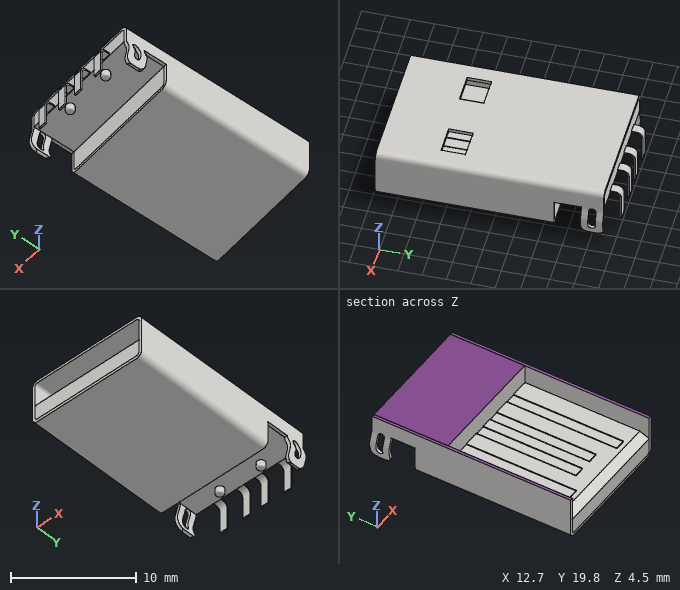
import cadquery as cq
import math


SHELL_WIDTH = 12.0
SHELL_HEIGHT = 4.5
SHELL_LENGTH = 18.8
SHEET = 0.3
CORNER_RADIUS = 0.6
CAVITY_WIDTH = SHELL_WIDTH - 2 * SHEET
CAVITY_HEIGHT = SHELL_HEIGHT - 2 * SHEET
CAVITY_RADIUS = CORNER_RADIUS - SHEET

STEP_Y = 14.7
STEP_Z = 2.62

WINDOW_WIDTH = 2.5
WINDOW_LENGTH = 2.0
WINDOW_X = 3.02
WINDOW_Y = 6.0

TAB_LENGTH = 1.85
TAB_MIDDLE_Y = SHELL_LENGTH - TAB_LENGTH / 2
TAB_CORNER_RADIUS = 0.6
TAB_ROOT_BEND_Z = 2.35
TAB_UPPER_BEND_Z = 1.757
TAB_LOWER_BEND_Z = 1.02
TAB_UPPER_ANGLE = math.radians(20.5)
TAB_LOWER_ANGLE = math.radians(17.0)
TAB_SLOT_WIDTH = 0.6
TAB_SLOT_BOTTOM_Z = 0.7
TAB_SLOT_TOP_Z = STEP_Z

TONGUE_TOP_Z = 2.25
TONGUE_CHAMFER_LENGTH = 0.89
TONGUE_CHAMFER_HEIGHT = 0.39
BLOCK_FRONT_Y = 11.75

PEG_X = 2.25
PEG_RADIUS = 0.4
PEG_BOTTOM_Z = 2.0
PEG_TIP_ROUNDING = 0.2

CONTACT_X = (-3.5, -1.0, 1.0, 3.5)
GROOVE_WIDTH = 1.0
GROOVE_DEPTH = 0.08
OUTER_GROOVE_FRONT_Y = 1.35
INNER_GROOVE_FRONT_Y = 2.35
GROOVE_FRONT_Y = (
    OUTER_GROOVE_FRONT_Y,
    INNER_GROOVE_FRONT_Y,
    INNER_GROOVE_FRONT_Y,
    OUTER_GROOVE_FRONT_Y,
)
PIN_WIDTH = 0.8
PIN_THICKNESS = 0.15
PIN_TOP_Z = 2.89
PIN_BOTTOM_Z = 0.07
PIN_REACH = 0.96
PIN_BEND_RADIUS = 0.6


def box(x_range, y_range, z_range):
    """Block between two limits on each axis."""
    size = [high - low for low, high in (x_range, y_range, z_range)]
    corner = (x_range[0], y_range[0], z_range[0])
    return cq.Workplane("XY").box(*size, centered=False).translate(corner)


def rounded_bar(width, height, radius):
    """Bar as long as the shell, with rounded long edges, centred on the shell height."""
    return (
        cq.Workplane("XZ", origin=(0, 0, SHELL_HEIGHT / 2))
        .rect(width, height)
        .extrude(-SHELL_LENGTH)
        .edges("|Y")
        .fillet(radius)
    )


def cavity_bar():
    """Inside of the shell, from end to end."""
    return rounded_bar(CAVITY_WIDTH, CAVITY_HEIGHT, CAVITY_RADIUS)


def rear_step():
    """Space below and behind the rear step, across the whole width."""
    half_width = SHELL_WIDTH / 2
    return box((-half_width, half_width), (STEP_Y, SHELL_LENGTH), (0, STEP_Z))


def tab_sheet():
    """Bowed strip under the +X side wall: root bend, outward leg, bow, inward leg."""
    wall_x = SHELL_WIDTH / 2
    root_radius = (STEP_Z - TAB_ROOT_BEND_Z) / math.sin(TAB_UPPER_ANGLE)
    root_x = wall_x + root_radius
    bow_radius = (TAB_UPPER_BEND_Z - TAB_LOWER_BEND_Z) / (
        math.sin(TAB_UPPER_ANGLE) + math.sin(TAB_LOWER_ANGLE)
    )
    leg_run = (TAB_ROOT_BEND_Z - TAB_UPPER_BEND_Z) * math.tan(TAB_UPPER_ANGLE)
    leg_end_x = root_x - root_radius * math.cos(TAB_UPPER_ANGLE) + leg_run
    bow_x = leg_end_x - bow_radius * math.cos(TAB_UPPER_ANGLE)
    bow_z = TAB_UPPER_BEND_Z - bow_radius * math.sin(TAB_UPPER_ANGLE)

    def root_point(radius, angle):
        return (root_x - radius * math.cos(angle), STEP_Z - radius * math.sin(angle))

    def bow_point(radius, angle):
        return (bow_x + radius * math.cos(angle), bow_z + radius * math.sin(angle))

    inner_root_radius = root_radius + SHEET
    inner_bow_radius = bow_radius - SHEET
    lower_end = bow_point(bow_radius, -TAB_LOWER_ANGLE)
    tip = (lower_end[0] - lower_end[1] * math.tan(TAB_LOWER_ANGLE), 0)
    inner_tip = (
        tip[0] - SHEET * math.cos(TAB_LOWER_ANGLE),
        tip[1] + SHEET * math.sin(TAB_LOWER_ANGLE),
    )
    return (
        cq.Workplane("XZ", origin=(0, SHELL_LENGTH, 0))
        .moveTo(*root_point(root_radius, 0))
        .threePointArc(
            root_point(root_radius, TAB_UPPER_ANGLE / 2),
            root_point(root_radius, TAB_UPPER_ANGLE),
        )
        .lineTo(*bow_point(bow_radius, TAB_UPPER_ANGLE))
        .threePointArc(bow_point(bow_radius, 0), lower_end)
        .lineTo(*tip)
        .lineTo(*inner_tip)
        .lineTo(*bow_point(inner_bow_radius, -TAB_LOWER_ANGLE))
        .threePointArc(
            bow_point(inner_bow_radius, 0),
            bow_point(inner_bow_radius, TAB_UPPER_ANGLE),
        )
        .lineTo(*root_point(inner_root_radius, TAB_UPPER_ANGLE))
        .threePointArc(
            root_point(inner_root_radius, TAB_UPPER_ANGLE / 2),
            root_point(inner_root_radius, 0),
        )
        .close()
        .extrude(TAB_LENGTH)
    )


def tab():
    """Slotted tab under the +X side wall, with rounded lower corners."""
    outline = (
        cq.Workplane("YZ")
        .center(TAB_MIDDLE_Y, STEP_Z / 2)
        .rect(TAB_LENGTH, STEP_Z)
        .extrude(SHELL_WIDTH)
        .edges("|X and <Z")
        .fillet(TAB_CORNER_RADIUS)
    )
    slot = (
        cq.Workplane("YZ")
        .center(TAB_MIDDLE_Y, (TAB_SLOT_BOTTOM_Z + TAB_SLOT_TOP_Z) / 2)
        .slot2D(TAB_SLOT_TOP_Z - TAB_SLOT_BOTTOM_Z, TAB_SLOT_WIDTH, 90)
        .extrude(SHELL_WIDTH)
    )
    return tab_sheet().intersect(outline).cut(slot)


def make_shell():
    """Rectangular tube with two latch windows, a rear step and two side tabs."""
    tube = rounded_bar(SHELL_WIDTH, SHELL_HEIGHT, CORNER_RADIUS)
    tube = tube.cut(cavity_bar())
    windows = (
        cq.Workplane("XY", origin=(0, 0, SHELL_HEIGHT - SHEET))
        .pushPoints([(-WINDOW_X, WINDOW_Y), (WINDOW_X, WINDOW_Y)])
        .rect(WINDOW_WIDTH, WINDOW_LENGTH)
        .extrude(SHEET)
    )
    side_tab = tab()
    return tube.cut(windows).cut(rear_step()).union(side_tab).union(side_tab.mirror("YZ"))


def mating_space():
    """Open space above the tongue, including its sloped front edge."""
    return (
        cq.Workplane("YZ", origin=(-SHELL_WIDTH / 2, 0, 0))
        .polyline([
            (0, SHELL_HEIGHT),
            (0, TONGUE_TOP_Z - TONGUE_CHAMFER_HEIGHT),
            (TONGUE_CHAMFER_LENGTH, TONGUE_TOP_Z),
            (BLOCK_FRONT_Y, TONGUE_TOP_Z),
            (BLOCK_FRONT_Y, SHELL_HEIGHT),
        ])
        .close()
        .extrude(SHELL_WIDTH)
    )


def contact_groove(x, front_y):
    """Shallow groove along the top of the tongue at one contact."""
    return box(
        (x - GROOVE_WIDTH / 2, x + GROOVE_WIDTH / 2),
        (front_y, BLOCK_FRONT_Y),
        (TONGUE_TOP_Z - GROOVE_DEPTH, TONGUE_TOP_Z),
    )


def pin(x):
    """Flat pin that leaves the back of the block and bends straight down."""
    outer_y = SHELL_LENGTH + PIN_REACH
    bend_y = outer_y - PIN_BEND_RADIUS
    bend_z = PIN_TOP_Z - PIN_BEND_RADIUS
    inner_radius = PIN_BEND_RADIUS - PIN_THICKNESS
    diagonal = math.sqrt(0.5)
    return (
        cq.Workplane("YZ", origin=(x - PIN_WIDTH / 2, 0, 0))
        .moveTo(SHELL_LENGTH, PIN_TOP_Z)
        .lineTo(bend_y, PIN_TOP_Z)
        .threePointArc(
            (bend_y + PIN_BEND_RADIUS * diagonal, bend_z + PIN_BEND_RADIUS * diagonal),
            (outer_y, bend_z),
        )
        .lineTo(outer_y, PIN_BOTTOM_Z)
        .lineTo(outer_y - PIN_THICKNESS, PIN_BOTTOM_Z)
        .lineTo(outer_y - PIN_THICKNESS, bend_z)
        .threePointArc(
            (bend_y + inner_radius * diagonal, bend_z + inner_radius * diagonal),
            (bend_y, PIN_TOP_Z - PIN_THICKNESS),
        )
        .lineTo(SHELL_LENGTH, PIN_TOP_Z - PIN_THICKNESS)
        .close()
        .extrude(PIN_WIDTH)
    )


def locating_peg(x):
    """Round peg under the rear block, level with the tabs, with a rounded tip."""
    return (
        cq.Workplane("XY", origin=(x, TAB_MIDDLE_Y, PEG_BOTTOM_Z))
        .circle(PEG_RADIUS)
        .extrude(STEP_Z - PEG_BOTTOM_Z)
        .faces("<Z")
        .fillet(PEG_TIP_ROUNDING)
    )


def make_insulator():
    """Rear block and tongue, with contact grooves, pins and locating pegs."""
    insulator = cavity_bar()
    insulator = insulator.cut(mating_space()).cut(rear_step())
    for x, groove_front_y in zip(CONTACT_X, GROOVE_FRONT_Y):
        insulator = insulator.cut(contact_groove(x, groove_front_y)).union(pin(x))
    for x in (-PEG_X, PEG_X):
        insulator = insulator.union(locating_peg(x))
    return insulator


shell = make_shell()
insulator = make_insulator()

result = cq.Compound.makeCompound([shell.val(), insulator.val()])